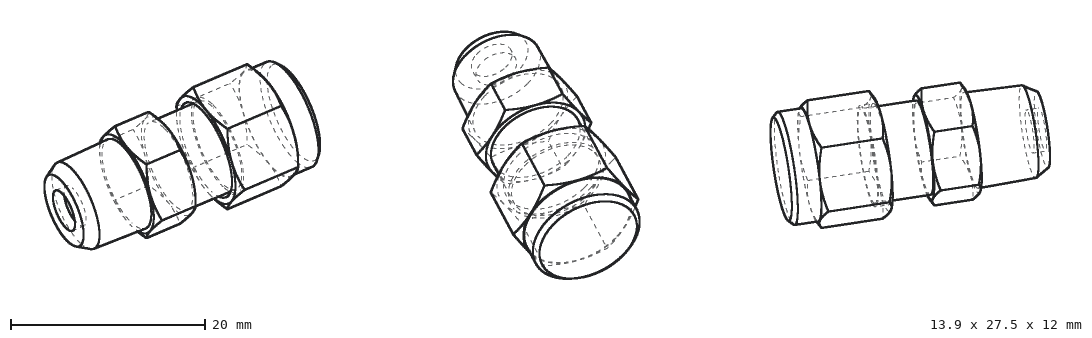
import cadquery as cq
import math

total_length = 27.5

nose_chamfer_end = 1.4
body_hex_start = 7.5
body_hex_end = 12.5
nut_start = 17.0
nut_end = 24.5

body_hex_flats = 11.0
nut_flats = 12.0
hex_chamfer_angle = 30.0

nose_face_diameter = 8.0
taper_small_diameter = 9.68
taper_large_diameter = 10.0
neck_diameter = 9.87
collar_diameter = 11.82
collar_chamfer = 0.52

bore_diameter = 4.5
bore_depth = 1.32

recess_diameter = 10.6
recess_depth = 1.38


def revolve_about_y(points):
    """Revolve a closed (radius, y) outline about the Y axis."""
    return cq.Workplane("XY").polyline(points).close().revolve(360, (0, 0, 0), (0, 1, 0))


def chamfered_hex(flats, start, end):
    """Hexagon prism along Y with its corners turned off conically at both ends."""
    corner_diameter = flats / math.cos(math.radians(30))
    flat_radius = flats / 2
    corner_radius = corner_diameter / 2
    chamfer_length = (corner_radius - flat_radius) * math.tan(math.radians(hex_chamfer_angle))
    prism = (
        cq.Workplane("XZ", origin=(0, start, 0))
        .polygon(6, corner_diameter)
        .extrude(start - end)
    )
    turned_envelope = revolve_about_y([
        (0, start),
        (flat_radius, start),
        (corner_radius, start + chamfer_length),
        (corner_radius, end - chamfer_length),
        (flat_radius, end),
        (0, end),
    ])
    return prism.intersect(turned_envelope)


collar_radius = collar_diameter / 2
core = revolve_about_y([
    (0, 0),
    (nose_face_diameter / 2, 0),
    (taper_small_diameter / 2, nose_chamfer_end),
    (taper_large_diameter / 2, body_hex_start),
    (neck_diameter / 2, body_hex_start),
    (neck_diameter / 2, nut_start),
    (collar_radius, nut_start),
    (collar_radius, total_length - collar_chamfer),
    (collar_radius - collar_chamfer, total_length),
    (0, total_length),
])

body_hex = chamfered_hex(body_hex_flats, body_hex_start, body_hex_end)
nut = chamfered_hex(nut_flats, nut_start, nut_end)
nut_recess = (
    cq.Workplane("XZ", origin=(0, nut_start, 0))
    .circle(recess_diameter / 2)
    .circle(neck_diameter / 2)
    .extrude(-recess_depth)
)
bore = cq.Workplane("XZ").circle(bore_diameter / 2).extrude(-bore_depth)

result = core.union(body_hex).union(nut).cut(nut_recess).cut(bore)